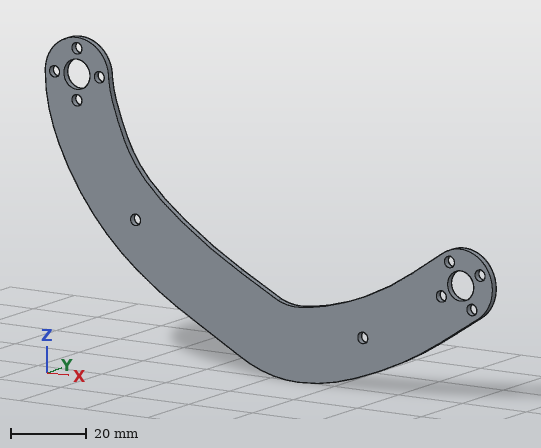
import cadquery as cq
import math

overall_length = 140.0
overall_height = 85.0
thickness = 2.0
end_radius = 10.0
bore_diameter = 8.1
small_hole_diameter = 3.1
bolt_circle_radius = 7.0
bolt_count = 4
right_pattern_angle = 30.0
outer_tangent_angle = -57.0
inner_tangent_angle = 122.0

left_center = (0.0, 0.0)
right_center = (overall_length - 2 * end_radius, -43.2)
arm_hole_centers = [(18.3, -37.1), (89.4, -60.7)]
lowest_point = (69.3, end_radius - overall_height)

outer_left_points = [(-6.5, -17.4), (3.6, -35.1), (17.1, -49.1), (30.6, -58.6)]
outer_bend_start = (50.8, -70.0)
outer_right_points = [(87.9, -71.7), (105.0, -64.4)]
inner_left_points = [(11.6, -7.5), (17.1, -20.3), (30.6, -34.3)]
inner_bend_start = (62.8, -53.6)
inner_bend_end = (70.1, -54.7)
inner_bend_direction = (-1, -0.1)
inner_straight_start = (51.0, -47.3)
inner_left_direction = (-0.1, 1)
inner_right_points = [(84.5, -51.6), (101.3, -43.8)]


def polar_point(center, radius, angle):
    """Point at the given angle in degrees on a circle."""
    turn = math.radians(angle)
    return (center[0] + radius * math.cos(turn), center[1] + radius * math.sin(turn))


def direction(start, end):
    """Vector from start to end."""
    return (end[0] - start[0], end[1] - start[1])


def make_plate():
    """Bent arm with a round pad at each end."""
    left_outer = polar_point(left_center, end_radius, 180)
    left_top = polar_point(left_center, end_radius, 90)
    left_inner = polar_point(left_center, end_radius, 0)
    right_outer = polar_point(right_center, end_radius, outer_tangent_angle)
    right_tip = polar_point(right_center, end_radius, 0)
    right_inner = polar_point(right_center, end_radius, inner_tangent_angle)
    straight_direction = direction(inner_bend_start, inner_straight_start)
    down = (0, -1)
    level = (1, 0)
    chord = direction(outer_bend_start, lowest_point)
    bend_angle = 2 * math.degrees(math.atan2(chord[1], chord[0]))
    outer_bend_direction = polar_point((0, 0), 1, bend_angle)
    outer_end_direction = polar_point((0, 0), 1, outer_tangent_angle + 90)
    inner_end_direction = polar_point((0, 0), 1, inner_tangent_angle + 90)
    return (
        cq.Workplane("XZ")
        .moveTo(*left_outer)
        .spline(outer_left_points + [outer_bend_start], tangents=[down, outer_bend_direction],
                includeCurrent=True)
        .tangentArcPoint(lowest_point, relative=False)
        .spline(outer_right_points + [right_outer], tangents=[level, outer_end_direction],
                includeCurrent=True)
        .threePointArc(right_tip, right_inner)
        .spline(inner_right_points[::-1] + [inner_bend_end],
                tangents=[inner_end_direction, inner_bend_direction], includeCurrent=True)
        .tangentArcPoint(inner_bend_start, relative=False)
        .lineTo(*inner_straight_start)
        .spline(inner_left_points[::-1] + [left_inner], tangents=[straight_direction, inner_left_direction],
                includeCurrent=True)
        .threePointArc(left_top, left_outer)
        .close()
        .extrude(thickness)
    )


def make_holes(centers, diameter):
    """Cutters passing through the full thickness."""
    return cq.Workplane("XZ").pushPoints(centers).circle(diameter / 2).extrude(thickness)


def bolt_centers(center, start_angle):
    """Evenly spaced hole centers around a bore."""
    step = 360 / bolt_count
    return [polar_point(center, bolt_circle_radius, start_angle + i * step) for i in range(bolt_count)]


small_hole_centers = (
    arm_hole_centers
    + bolt_centers(left_center, 0)
    + bolt_centers(right_center, right_pattern_angle)
)

result = (
    make_plate()
    .cut(make_holes([left_center, right_center], bore_diameter))
    .cut(make_holes(small_hole_centers, small_hole_diameter))
)